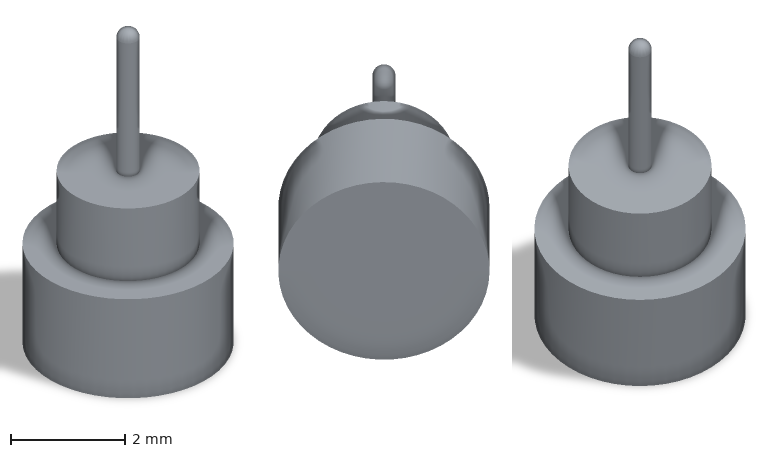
import cadquery as cq

total_height = 6.5
base_diameter = 3.7
base_height = 2.05
neck_diameter = 2.5
neck_height = 1.5
pin_diameter = 0.41
tip_radius = 0.195

pin_height = total_height - base_height - neck_height

base = cq.Workplane("XY").circle(base_diameter / 2).extrude(base_height)
neck = base.faces(">Z").workplane().circle(neck_diameter / 2).extrude(neck_height)

pin = (
    cq.Workplane("XY", origin=(0, 0, base_height + neck_height))
    .circle(pin_diameter / 2)
    .extrude(pin_height)
    .faces(">Z")
    .edges()
    .fillet(tip_radius)
)

result = neck.union(pin)